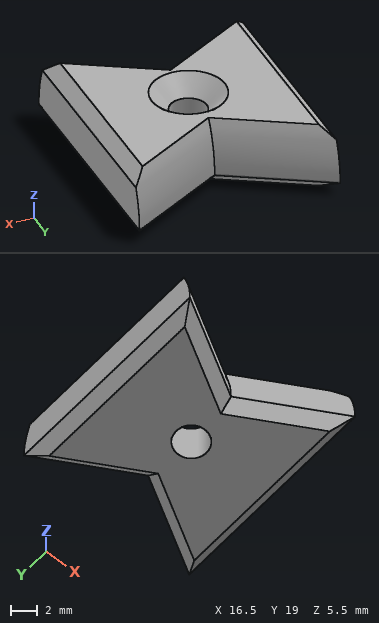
import cadquery as cq
import math

length = 19.0
notch_angle = 30.0
width = length * math.cos(math.radians(notch_angle))
thickness = 5.5
chamfer = 1.0

wall_radius = 10.0
top_inset = chamfer
band_top = thickness - math.sqrt(wall_radius**2 - (wall_radius - top_inset)**2)

hole_diameter = 3.0
hole_y = -0.2
countersink_diameter = 6.0
countersink_angle = 90.0

half_width = width / 2
notch_root = length / 2 - half_width * math.tan(math.radians(notch_angle))


def chamfered_half():
    """The +X half of the rectangular plate, chamfered on its outer side."""
    return (
        cq.Workplane("XZ")
        .moveTo(0, 0)
        .lineTo(half_width - chamfer, 0)
        .lineTo(half_width, chamfer)
        .lineTo(half_width, thickness - chamfer)
        .lineTo(half_width - chamfer, thickness)
        .lineTo(0, thickness)
        .close()
        .extrude(length / 2, both=True)
    )


def notch_wall_slab():
    """Material behind the +Y notch wall of the +X half."""
    angle = math.radians(notch_angle)
    outward = (-math.sin(angle), math.cos(angle), 0)
    along_wall = (math.cos(angle), math.sin(angle), 0)
    plane = cq.Plane(origin=(0, notch_root, 0), xDir=outward, normal=along_wall)

    middle_angle = math.asin((thickness - band_top) / wall_radius) / 2
    middle_inset = wall_radius * (1 - math.cos(middle_angle))
    middle_height = band_top + wall_radius * math.sin(middle_angle)
    slab_depth = 2 * length

    return (
        cq.Workplane(plane)
        .moveTo(-slab_depth, 0)
        .lineTo(-chamfer, 0)
        .lineTo(0, chamfer)
        .lineTo(0, band_top)
        .threePointArc((-middle_inset, middle_height), (-top_inset, thickness))
        .lineTo(-slab_depth, thickness)
        .close()
        .extrude(slab_depth, both=True)
    )


wall_slab = notch_wall_slab()
half = chamfered_half().intersect(wall_slab).intersect(wall_slab.mirror("XZ"))
plate = half.union(half.mirror("YZ"))

result = (
    plate.faces(">Z")
    .workplane(origin=(0, hole_y, thickness))
    .cskHole(hole_diameter, countersink_diameter, countersink_angle)
)